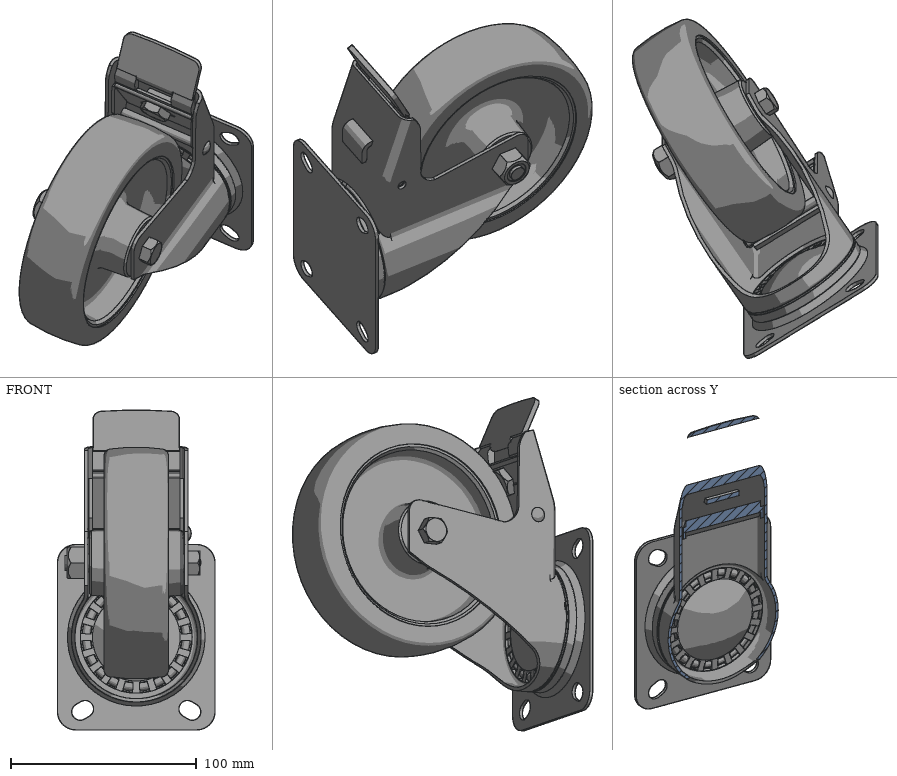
import cadquery as cq
import math


plate_width = 85.0
plate_height = 100.1
plate_thickness = 1.9
plate_back_y = 92.3
plate_front_y = plate_back_y - plate_thickness
plate_corner_radius = 10.0
slot_pitch_x = 57.8
slot_pitch_z = 78.9
slot_width = 9.0
slot_length = 12.0
slot_tilt = 30.0

swivel_z = -40.0
neck_flare_radius = 37.1
neck_radius = 34.9
neck_flare_bulge = 0.9
neck_groove_radius = 34.2
neck_band_start_y = 86.6
neck_band_end_y = 81.8
bearing_radius = 30.2
bearing_face_y = 78.7
pocket_count = 20
pocket_inner_radius = 24.3
pocket_outer_radius = 29.9
pocket_inner_width = 4.1
pocket_outer_width = 5.5
pocket_depth = 2.6
race_ring_radius = 27.0
race_section_radius = 2.2
dome_radius = 23.6
dome_height = 6.0

fork_sheet = 1.9
cut_overrun = 1.7
fork_back_y = 79.4
fork_radius = 35.0
shell_back_y = 81.0
shell_edge_radius = 1.5
shell_inner_edge_radius = 2.6
arm_outer_x = 28.0
arm_inner_x = arm_outer_x - fork_sheet
arm_foot_radius = 6.9
arm_corner_radius = 5.5
arm_end_y = -13.0
arm_end_low_z = -12.0
arm_end_high_z = 10.7
arm_end_round_mid = (-10.9, 15.2)
arm_tip_top = (-6.0, 16.9)
arm_crotch_low = (45.9, 9.8)
arm_crotch_mid = (52.1, 13.3)
arm_crotch_high = (54.7, 19.0)
arm_front_top = (55.0, 52.1)
arm_shoulder_mid = (56.3, 56.5)
arm_shoulder_end = (59.0, 60.7)
shell_front_y = 72.3
shell_curve_mid = (69.7, -65.2)
shell_curve_end = (62.8, -58.2)
fork_top_z = 62.8
back_top_y = 66.1
bend_z = 22.8
bend_radius = 20.7
back_lean = math.atan2(fork_back_y - back_top_y, fork_top_z - bend_z)

wheel_radius = 62.5
tread_edge_radius = 61.5
tread_half_width = 14.3
wheel_half_width = 17.5
hub_half_length = 25.2
hub_radius = 17.6
hub_root_radius = 18.5
hub_root_x = 10.0
hub_edge = 1.0
web_half_thickness = 3.8
web_inner_radius = 24.7
web_outer_radius = 40.9
rim_radius = 46.5
rim_root_x = 9.3
rim_edge_x = 14.8
rim_edge_radius = 47.0
rim_lip_radius = 48.5
rim_lip_x = 16.5
tyre_inner_radius = 49.9
tyre_shoulder_radius = 57.5
shoulder_mid = (16.5, 60.0)

axle_radius = 4.1
axle_end_x = 38.5
spacer_radius = 4.8
nut_flats = 17.0
nut_end_x = 37.5
nut_tip_radius = 7.8
nut_chamfer = 2.2
nut_recess_radius = 5.9
nut_recess_depth = 0.9
head_flats = 13.1
head_end_x = 34.3
head_tip_radius = 6.4
head_chamfer = 1.2

lever_sheet = 3.0
pivot_y = 66.6
pivot_z = 15.9
pivot_radius = 2.5
rivet_radius = 4.0
rivet_height = 1.7
pedal_width = 46.6
pedal_tilt = 24.3
pedal_length = 23.8
pedal_foot_y = 59.0
pedal_foot_z = 60.7
pedal_crown = 1.0
pedal_corner_radius = 4.8
lever_half_width = 23.6
tab_inner_x = 11.2
tab_root = (61.6, 62.1)
tab_shelf_back = (59.7, 59.2)
tab_shelf_front = (57.8, 56.6)
tab_nose_mid = (57.5, 55.5)
tab_nose_end = (57.5, 54.5)
tab_face_end = (58.0, 50.0)
tab_foot_y = 59.7
tab_foot_z = 48.7
cheek_outer_x = 25.4
cheek_top_z = 45.5
cheek_corner = 3.3
cheek_front_y = 57.3
cheek_front_low_z = 24.2
cheek_lower_corner = (61.3, 17.3)
cheek_eye_width = 3.5
cheek_back_y = 70.8
plate_top = (58.0, 45.9)
plate_bottom = (71.8, 18.6)
plate_slope = math.atan2(plate_bottom[0] - plate_top[0], plate_top[1] - plate_bottom[1])
plate_ledge_back = (60.7, 49.5)
roll_radius = 1.5
roll_y = 59.0
roll_z = 47.0
hook_width = 20.5
hook_back_y = 81.1
hook_front_y = 63.0
hook_bottom_z = 24.9
hook_top_z = 38.1
hook_bend_radius = 5.9
brake_bolt_z = 36.0
brake_bolt_y = 57.8
brake_bolt_length = 6.9
brake_bolt_flats = 15.0
brake_bolt_tip_radius = 7.2


def prism_x(outline, x_start, x_end):
    """Solid from a closed (Y, Z) outline, between two X positions."""
    return outline.extrude(x_end - x_start).translate((x_start, 0, 0))


def rod_x(radius, x_start, x_end, y=0.0, z=0.0):
    return prism_x(cq.Workplane("YZ").center(y, z).circle(radius), x_start, x_end)


def disc_y(radius, y_start, y_end):
    """Disc about the swivel axis, between two Y positions."""
    disc = cq.Workplane("XZ").circle(radius).extrude(y_end - y_start)
    return disc.translate((0, y_end, swivel_z))


def mounting_plate():
    plate = (
        cq.Workplane("XZ")
        .rect(plate_width, plate_height)
        .extrude(plate_thickness)
        .edges("|Y")
        .fillet(plate_corner_radius)
    )
    for side_x in (-1, 1):
        for side_z in (-1, 1):
            slot = (
                cq.Workplane("XZ")
                .center(side_x * slot_pitch_x / 2, side_z * slot_pitch_z / 2)
                .slot2D(slot_length, slot_width, side_x * side_z * slot_tilt)
                .extrude(plate_thickness)
            )
            plate = plate.cut(slot)
    return plate.translate((0, plate_back_y, swivel_z))


def swivel_head():
    flare_mid = (neck_radius + neck_flare_bulge, (plate_front_y + neck_band_start_y) / 2)
    dome_sphere = (dome_radius**2 + dome_height**2) / (2 * dome_height)
    dome_mid_rise = math.sqrt(dome_sphere**2 - dome_radius**2 / 4) - (dome_sphere - dome_height)
    dome_mid = (dome_radius / 2, bearing_face_y - dome_mid_rise)
    neck = (
        cq.Workplane("XY")
        .moveTo(0, plate_front_y)
        .lineTo(neck_flare_radius, plate_front_y)
        .threePointArc(flare_mid, (neck_groove_radius, neck_band_start_y))
        .lineTo(neck_radius, neck_band_start_y)
        .lineTo(neck_radius, neck_band_end_y)
        .lineTo(neck_groove_radius, neck_band_end_y)
        .lineTo(neck_groove_radius, shell_back_y)
        .lineTo(bearing_radius, shell_back_y)
        .lineTo(bearing_radius, bearing_face_y)
        .lineTo(dome_radius, bearing_face_y)
        .threePointArc(dome_mid, (0, bearing_face_y - dome_height))
        .close()
        .revolve(360, (0, 0), (0, 1))
        .translate((0, 0, swivel_z))
    )
    pocket = (
        cq.Workplane("XZ")
        .polyline(
            [
                (-pocket_inner_width / 2, pocket_inner_radius),
                (pocket_inner_width / 2, pocket_inner_radius),
                (pocket_outer_width / 2, pocket_outer_radius),
                (-pocket_outer_width / 2, pocket_outer_radius),
            ]
        )
        .close()
        .extrude(pocket_depth)
        .translate((0, bearing_face_y + pocket_depth, swivel_z))
    )
    pitch = 360 / pocket_count
    for index in range(pocket_count):
        angle = (index + 0.5) * pitch
        neck = neck.cut(pocket.rotate((0, 0, swivel_z), (0, 1, swivel_z), angle))
    race = (
        cq.Workplane("XY")
        .center(race_ring_radius, bearing_face_y + pocket_depth)
        .circle(race_section_radius)
        .revolve(360, (-race_ring_radius, 0), (-race_ring_radius, 1))
        .translate((0, 0, swivel_z))
    )
    return neck.union(race)


def fork_foot(inset):
    """Lower shell of the fork with concave fillets that lead up into the arms, shrunk by inset."""
    radius = fork_radius - inset
    half_width = arm_outer_x - inset
    foot_radius = arm_foot_radius + inset
    foot_x = half_width + foot_radius
    foot_rise = math.sqrt((radius + foot_radius) ** 2 - foot_x**2)
    contact = radius / (radius + foot_radius)
    middle_angle = math.pi + math.atan2(foot_rise, foot_x) / 2
    middle_x = foot_x + foot_radius * math.cos(middle_angle)
    middle_z = foot_rise + foot_radius * math.sin(middle_angle)
    back_y = fork_back_y - arm_corner_radius
    return (
        cq.Workplane("XZ")
        .moveTo(-half_width, foot_rise)
        .lineTo(half_width, foot_rise)
        .threePointArc((middle_x, middle_z), (foot_x * contact, foot_rise * contact))
        .threePointArc((0, -radius), (-foot_x * contact, foot_rise * contact))
        .threePointArc((-middle_x, middle_z), (-half_width, foot_rise))
        .close()
        .extrude(back_y - arm_end_y)
        .translate((0, back_y, swivel_z))
    )


def fork_block(inset):
    """Solid fork shrunk by inset: an upright block with a bent back, on a round lower shell."""
    back_y = fork_back_y - inset
    half_width = arm_outer_x - inset
    inner_bend_z = bend_z - inset * math.tan(back_lean / 2)
    top_z = fork_top_z + cut_overrun
    side_outline = (
        cq.Workplane("YZ")
        .moveTo(arm_end_y, swivel_z)
        .lineTo(back_y, swivel_z)
        .lineTo(back_y, inner_bend_z)
        .lineTo(back_y - (top_z - inner_bend_z) * math.tan(back_lean), top_z)
        .lineTo(arm_end_y, top_z)
        .close()
    )
    upright = prism_x(side_outline, -half_width, half_width)
    bend_edge = cq.selectors.NearestToPointSelector((0, back_y, inner_bend_z))
    upright = upright.edges(bend_edge).fillet(bend_radius - inset)
    for side in (-1, 1):
        corner = cq.selectors.NearestToPointSelector((side * half_width, back_y, (swivel_z + bend_z) / 2))
        upright = upright.edges(corner).fillet(arm_corner_radius - inset)
    edge_radius = shell_inner_edge_radius if inset else shell_edge_radius
    lower_shell = disc_y(fork_radius - inset, arm_end_y, shell_back_y - inset)
    lower_shell = lower_shell.edges(">Y").fillet(edge_radius)
    return upright.union(lower_shell).union(fork_foot(inset))


def fork_side_profile():
    """Outline of the arms and the cut-away lower shell, as seen along X."""
    shell_low_z = swivel_z - fork_radius - cut_overrun
    outline = (
        cq.Workplane("YZ")
        .moveTo(shell_back_y, shell_low_z)
        .lineTo(shell_front_y, shell_low_z)
        .threePointArc(shell_curve_mid, shell_curve_end)
        .lineTo(arm_end_y, arm_end_low_z)
        .lineTo(arm_end_y, arm_end_high_z)
        .threePointArc(arm_end_round_mid, arm_tip_top)
        .lineTo(*arm_crotch_low)
        .threePointArc(arm_crotch_mid, arm_crotch_high)
        .lineTo(*arm_front_top)
        .threePointArc(arm_shoulder_mid, arm_shoulder_end)
        .lineTo(back_top_y, fork_top_z)
        .lineTo(shell_back_y, fork_top_z)
        .close()
    )
    return prism_x(outline, -fork_radius, fork_radius)


def fork():
    shell = fork_block(0).cut(fork_block(fork_sheet)).intersect(fork_side_profile())
    opening = disc_y(bearing_radius, shell_back_y - 3 * fork_sheet, shell_back_y)
    pivot_hole = rod_x(pivot_radius, -arm_outer_x, -arm_inner_x, pivot_y, pivot_z)
    return shell.cut(opening).cut(pivot_hole)


def wheel():
    corner_share = 1 - math.sqrt(0.5)
    hub_fillet_mid = (
        web_half_thickness + (hub_root_x - web_half_thickness) * corner_share,
        hub_root_radius + (web_inner_radius - hub_root_radius) * corner_share,
    )
    rim_fillet_mid = (
        web_half_thickness + (rim_root_x - web_half_thickness) * corner_share,
        rim_radius - (rim_radius - web_outer_radius) * corner_share,
    )
    half = (
        cq.Workplane("XY")
        .lineTo(hub_half_length, 0)
        .lineTo(hub_half_length, hub_radius - hub_edge)
        .lineTo(hub_half_length - hub_edge, hub_radius)
        .lineTo(hub_root_x, hub_root_radius)
        .threePointArc(hub_fillet_mid, (web_half_thickness, web_inner_radius))
        .lineTo(web_half_thickness, web_outer_radius)
        .threePointArc(rim_fillet_mid, (rim_root_x, rim_radius))
        .lineTo(rim_edge_x, rim_edge_radius)
        .lineTo(rim_lip_x, rim_lip_radius)
        .lineTo(rim_lip_x, tyre_inner_radius)
        .lineTo(wheel_half_width, tyre_inner_radius)
        .lineTo(wheel_half_width, tyre_shoulder_radius)
        .threePointArc(shoulder_mid, (tread_half_width, tread_edge_radius))
        .lineTo(0, tread_edge_radius)
        .close()
        .revolve(360, (0, 0), (1, 0))
    )
    tread = (
        cq.Workplane("XY")
        .moveTo(-tread_half_width, tyre_inner_radius)
        .lineTo(-tread_half_width, tread_edge_radius)
        .threePointArc((0, wheel_radius), (tread_half_width, tread_edge_radius))
        .lineTo(tread_half_width, tyre_inner_radius)
        .close()
        .revolve(360, (0, 0), (1, 0))
    )
    return half.union(half.mirror("YZ")).union(tread)


def chamfered_hex(flats, length, tip_radius, chamfer_length):
    """Hexagonal head along X from the origin, its corners turned down to a cone at the tip."""
    corner_diameter = flats / math.cos(math.pi / 6)
    hexagon = cq.Workplane("YZ").polygon(6, corner_diameter).extrude(length)
    corner_radius = corner_diameter / 2
    cone = (
        cq.Workplane("XY")
        .lineTo(0, corner_radius)
        .lineTo(length - chamfer_length, corner_radius)
        .lineTo(length, tip_radius)
        .lineTo(length, 0)
        .close()
        .revolve(360, (0, 0), (1, 0))
    )
    return hexagon.intersect(cone)


def axle():
    nut = chamfered_hex(nut_flats, nut_end_x - arm_outer_x, nut_tip_radius, nut_chamfer)
    nut = nut.mirror("YZ").translate((-arm_outer_x, 0, 0))
    head = chamfered_hex(head_flats, head_end_x - arm_outer_x, head_tip_radius, head_chamfer)
    head = head.translate((arm_outer_x, 0, 0))
    nut = nut.cut(rod_x(nut_recess_radius, -nut_end_x, -nut_end_x + nut_recess_depth))
    bolt = rod_x(axle_radius, -axle_end_x, arm_outer_x)
    spacer = rod_x(spacer_radius, -arm_inner_x, arm_inner_x)
    return bolt.union(spacer).union(nut).union(head)


def pedal():
    half_width = pedal_width / 2
    blade = (
        cq.Workplane("XZ")
        .moveTo(-half_width, 0)
        .lineTo(half_width, 0)
        .lineTo(half_width, pedal_length - pedal_crown)
        .threePointArc((0, pedal_length), (-half_width, pedal_length - pedal_crown))
        .close()
        .extrude(-lever_sheet)
        .edges("|Y")
        .edges(">Z")
        .fillet(pedal_corner_radius)
    )
    return blade.rotate((0, 0, 0), (1, 0, 0), -pedal_tilt).translate((0, pedal_foot_y, pedal_foot_z))


def lever_tabs():
    """Two tabs under the pedal, with the pedal edge curled back between them."""
    outline = (
        cq.Workplane("YZ")
        .moveTo(*tab_root)
        .lineTo(*tab_shelf_back)
        .lineTo(*tab_shelf_front)
        .threePointArc(tab_nose_mid, tab_nose_end)
        .lineTo(*tab_face_end)
        .lineTo(tab_foot_y, tab_foot_z)
        .lineTo(tab_root[0], tab_foot_z)
        .close()
    )
    right_tab = prism_x(outline, tab_inner_x, lever_half_width)
    tilt = math.radians(pedal_tilt)
    curl_y = pedal_foot_y + lever_sheet * math.cos(tilt)
    curl_z = pedal_foot_z - lever_sheet * math.sin(tilt)
    curl = rod_x(lever_sheet, -tab_inner_x, tab_inner_x, curl_y, curl_z)
    return curl.union(right_tab).union(right_tab.mirror("YZ"))


def brake_plate():
    """Sloping plate with a rolled upper edge and a cheek at either side."""
    normal_y = lever_sheet * math.cos(plate_slope)
    normal_z = lever_sheet * math.sin(plate_slope)
    sheet = (
        cq.Workplane("YZ")
        .moveTo(*plate_top)
        .lineTo(*plate_bottom)
        .lineTo(plate_bottom[0] + normal_y, plate_bottom[1] + normal_z)
        .lineTo(*plate_ledge_back)
        .lineTo(roll_y, plate_ledge_back[1])
        .close()
    )
    plate = prism_x(sheet, -lever_half_width, lever_half_width)
    roll = rod_x(roll_radius, -lever_half_width, lever_half_width, roll_y, roll_z)
    cheek_outline = (
        cq.Workplane("YZ")
        .moveTo(plate_top[0], cheek_top_z)
        .lineTo(cheek_front_y, cheek_top_z - cheek_corner)
        .lineTo(cheek_front_y, cheek_front_low_z)
        .lineTo(*cheek_lower_corner)
        .lineTo(pivot_y, pivot_z - pivot_radius)
        .lineTo(pivot_y + cheek_eye_width, pivot_z)
        .lineTo(cheek_back_y, cheek_front_low_z)
        .lineTo(tab_root[0], cheek_top_z)
        .close()
    )
    cheek = prism_x(cheek_outline, lever_half_width, cheek_outer_x)
    return plate.union(roll).union(cheek).union(cheek.mirror("YZ"))


def lever_hook():
    inner_radius = hook_bend_radius - lever_sheet
    centre_y = hook_back_y - hook_bend_radius
    centre_z = hook_top_z - hook_bend_radius
    diagonal = math.sqrt(0.5)
    inner_top_z = hook_top_z - lever_sheet
    outline = (
        cq.Workplane("YZ")
        .moveTo(hook_back_y, hook_bottom_z)
        .lineTo(hook_back_y, centre_z)
        .threePointArc(
            (centre_y + hook_bend_radius * diagonal, centre_z + hook_bend_radius * diagonal),
            (centre_y, hook_top_z),
        )
        .lineTo(hook_front_y, hook_top_z)
        .lineTo(hook_front_y, inner_top_z)
        .lineTo(centre_y, inner_top_z)
        .threePointArc(
            (centre_y + inner_radius * diagonal, centre_z + inner_radius * diagonal),
            (hook_back_y - lever_sheet, centre_z),
        )
        .lineTo(hook_back_y - lever_sheet, hook_bottom_z)
        .close()
    )
    return prism_x(outline, -hook_width / 2, hook_width / 2)


def brake_bolt():
    bolt = chamfered_hex(brake_bolt_flats, brake_bolt_length, brake_bolt_tip_radius, head_chamfer)
    bolt = bolt.translate((-brake_bolt_length, 0, 0))
    bolt = bolt.rotate((0, 0, 0), (0, 0, 1), -90)
    bolt = bolt.rotate((0, 0, 0), (1, 0, 0), math.degrees(plate_slope))
    return bolt.translate((0, brake_bolt_y, brake_bolt_z))


def pivot():
    pin = rod_x(pivot_radius, -cheek_outer_x, arm_outer_x, pivot_y, pivot_z)
    rivet_sphere = (rivet_radius**2 + rivet_height**2) / (2 * rivet_height)
    rivet_mid_rise = math.sqrt(rivet_sphere**2 - rivet_radius**2 / 4) - (rivet_sphere - rivet_height)
    rivet_mid = (rivet_mid_rise, rivet_radius / 2)
    rivet = (
        cq.Workplane("XY")
        .lineTo(0, rivet_radius)
        .threePointArc(rivet_mid, (rivet_height, 0))
        .close()
        .revolve(360, (0, 0), (1, 0))
        .translate((arm_outer_x, pivot_y, pivot_z))
    )
    return pin.union(rivet)


result = mounting_plate()
for component in (
    swivel_head(),
    fork(),
    wheel(),
    axle(),
    pedal(),
    lever_tabs(),
    brake_plate(),
    lever_hook(),
    brake_bolt(),
    pivot(),
):
    result = result.union(component)